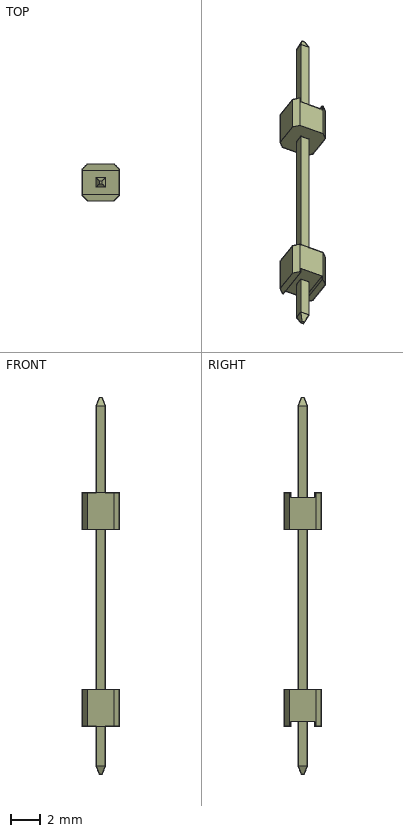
import cadquery as cq

pin_length = 25.7
pin_width = 0.64
tip_length = 0.58
tip_width = 0.2

block_size = 2.54
block_height = 2.52
corner_chamfer = 0.37
channel_width = 1.63
channel_depth = 0.32
tail_length = 3.28
block_gap = 10.89

lower_block_bottom = tail_length
upper_block_bottom = lower_block_bottom + block_height + block_gap


def make_tip(base_height, direction):
    """Square taper that closes one end of the pin; direction is +1 up or -1 down."""
    return (
        cq.Workplane("XY", origin=(0, 0, base_height))
        .rect(pin_width, pin_width)
        .workplane(offset=direction * tip_length)
        .rect(tip_width, tip_width)
        .loft(combine=True)
    )


def make_pin():
    shank_length = pin_length - 2 * tip_length
    shank = (
        cq.Workplane("XY", origin=(0, 0, tip_length))
        .rect(pin_width, pin_width)
        .extrude(shank_length)
    )
    return shank.union(make_tip(pin_length - tip_length, 1)).union(make_tip(tip_length, -1))


def make_block(bottom, channel_bottom):
    """Chamfered insulator with a channel along X across one of its end faces."""
    block = (
        cq.Workplane("XY", origin=(0, 0, bottom))
        .rect(block_size, block_size)
        .extrude(block_height)
        .edges("|Z")
        .chamfer(corner_chamfer)
    )
    channel = (
        cq.Workplane("XY", origin=(0, 0, channel_bottom))
        .rect(block_size, channel_width)
        .extrude(channel_depth)
    )
    return block.cut(channel)


pin = make_pin()

lower_block = make_block(lower_block_bottom, lower_block_bottom)
upper_block = make_block(upper_block_bottom, upper_block_bottom + block_height - channel_depth)

pin_with_lower_block = lower_block.union(pin)
upper_block = upper_block.cut(pin)

result = cq.Compound.makeCompound([pin_with_lower_block.val(), upper_block.val()])